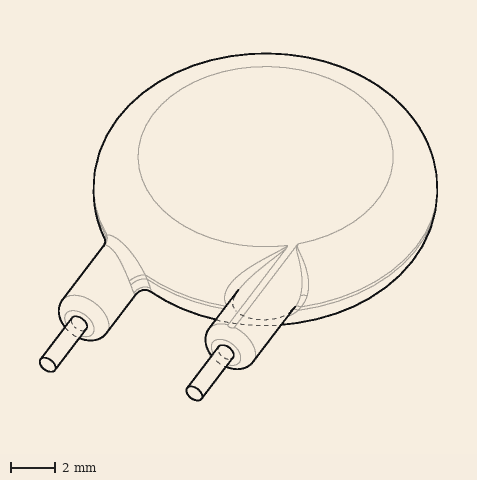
import cadquery as cq

disc_diameter = 15.5
disc_thickness = 4.2
rim_radius = 2.0
overall_length = 21.5
lead_pitch = 7.5
lead_diameter = 0.82
sleeve_diameter = 2.5
sleeve_reach = 10.75
sleeve_end_radius = 0.5
sleeve_proud = 0.01
blend_radius = 0.5

disc_radius = disc_diameter / 2
sleeve_radius = sleeve_diameter / 2
flat_radius = disc_radius - rim_radius
lead_reach = overall_length - disc_radius
lead_x = lead_pitch / 2
sleeve_start = (flat_radius**2 - lead_x**2) ** 0.5 / 2
lead_axes = [
    (-lead_x, sleeve_radius - sleeve_proud),
    (lead_x, disc_thickness - sleeve_radius + sleeve_proud),
]


def make_disc():
    disc = cq.Workplane("XY").circle(disc_radius).extrude(disc_thickness)
    return disc.edges().fillet(rim_radius)


def rod_toward_front(x, z, diameter, start, end):
    """Round rod along -Y, between two distances from the disc centre."""
    plane = cq.Plane(origin=(x, -start, z), xDir=(1, 0, 0), normal=(0, -1, 0))
    return cq.Workplane(plane).circle(diameter / 2).extrude(end - start)


def make_sleeve(x, z):
    sleeve = rod_toward_front(x, z, sleeve_diameter, sleeve_start, sleeve_reach)
    return sleeve.faces("<Y").edges().fillet(sleeve_end_radius)


def add_blended_sleeve(body, x, z):
    """Join a sleeve to the disc and round the inside corner where they meet."""
    joined = body.union(make_sleeve(x, z))
    barrels = [
        face
        for face in joined.faces("%CYLINDER").vals()
        if face.BoundingBox().ymin < -disc_radius - blend_radius and face.Center().x * x > 0
    ]
    seam = [
        edge
        for barrel in barrels
        for edge in barrel.Edges()
        if edge.geomType() not in ("LINE", "CIRCLE")
    ]
    return joined.newObject(seam).fillet(blend_radius)


def trim_to_thickness(body):
    """Shave the slightly proud sleeves flush with the two flat faces."""
    side = 2 * lead_reach
    slab = cq.Workplane("XY").rect(side, side).extrude(disc_thickness)
    return body.intersect(slab)


body = make_disc()
for x, z in lead_axes:
    body = add_blended_sleeve(body, x, z)
body = trim_to_thickness(body).clean()
for x, z in lead_axes:
    body = body.union(rod_toward_front(x, z, lead_diameter, sleeve_start, lead_reach))

result = body